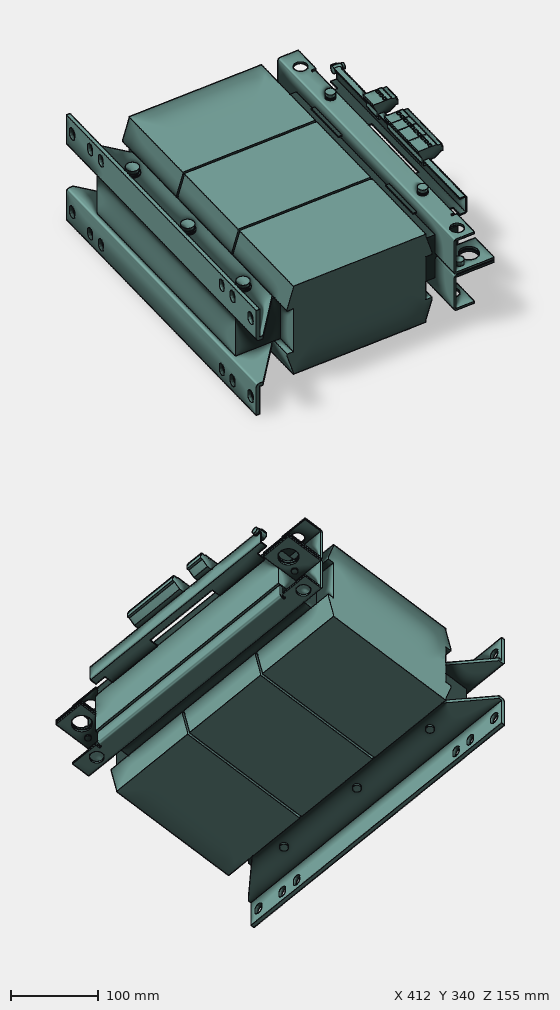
import cadquery as cq


CORE_WIDTH = 300.8
CORE_HALF_HEIGHT = 31.7
CORE_FRONT = 6.5
CORE_LENGTH = 298.0
YOKE_WIDTH = 60.0
CORE_BACK = CORE_FRONT + CORE_LENGTH
WINDOW_FRONT = CORE_FRONT + YOKE_WIDTH
WINDOW_BACK = CORE_BACK - YOKE_WIDTH

COIL_COUNT = 3
COIL_WIDTH = 117.0
COIL_GAP = 3.0
COIL_HALF_HEIGHT = 65.0
COIL_OVERHANG = 8.2
COIL_LIP = 3.5
COIL_EDGE_HEIGHT = 3.0
COIL_PITCH = COIL_WIDTH + COIL_GAP

FOOT_WIDTH = 412.0
FOOT_HALF_HEIGHT = 77.5
FOOT_THICKNESS = 5.0
FOOT_DEPTH = 55.5
FOOT_STRAIGHT_END = 9.0
FOOT_BEND_RADIUS = 4.5
SLOT_LENGTH = 16.0
END_SLOT_WIDTH = 11.5
END_SLOT_X = 193.5
END_SLOT_Z = 57.5
INNER_SLOT_WIDTH = 10.5
INNER_SLOT_XS = (131.0, 154.5)
INNER_SLOT_Z = 62.2

FOOT_BOLT_PITCH = 120.0
FOOT_BOLT_Y = 35.5
FOOT_BOLT_LAYERS = [(19.0, 1.5), (15.2, 2.5), (16.5, 5.0)]
FOOT_BOLT_DIAMETER = 10.5
FOOT_BOLT_END = 39.5

BRACKET_WIDTH = 382.5
BRACKET_FRONT = 274.0
BRACKET_BACK = 301.5
BRACKET_TOP = 52.7
BRACKET_THICKNESS = 3.0
BRACKET_GAP = 1.5
BRACKET_BEND_RADIUS = 4.0
FLANGE_BEND_RADIUS = 5.0
RELIEF_WIDTH = 3.0
RELIEF_LENGTH = 6.0

EAR_WIDTH = 41.0
EAR_BACK = 328.0
EAR_HOLE_DIAMETER = 24.0
EAR_HOLE_Y = 307.5
EAR_HOLE_X = 169.7
EAR_TOP = BRACKET_GAP / 2 + BRACKET_THICKNESS

BRACKET_BOLT_Y = 288.5
ACCESS_HOLE_DIAMETER = 17.0
ACCESS_HOLE_SHIFT = 5.0
EAR_BOLT_SHIFT = 9.5
EAR_BOLT_HEAD_DIAMETER = 11.5
EAR_BOLT_HEAD_HEIGHT = 6.0
EAR_BOLT_DIAMETER = 8.0
EAR_BOLT_END = 5.8

RAIL_WIDTH = 280.0
RAIL_FRONT = 313.5
RAIL_BACK = 323.0
RAIL_BOTTOM = 36.0
RAIL_TOP = 61.5
RAIL_THICKNESS = 1.5
RAIL_BEND_RADIUS = 3.5
TAB_FRONT = 269.0
TAB_INNER_X = 51.0
TAB_NARROW_OUTER_X = 110.5
TAB_WIDE_OUTER_X = 125.2

TAB_BOLT_X = 100.0
TAB_BOLT_LAYERS = [(12.8, 1.2), (11.0, 1.5), (12.5, 5.5)]
TAB_BOLT_DIAMETER = 6.0
TAB_NUT_DIAMETER = 9.5
TAB_NUT_THICKNESS = 1.5

EARTH_SCREW_X = -135.5
EARTH_SCREW_Z = 57.3
EARTH_SCREW_DIAMETER = 8.2
EARTH_SCREW_BACK = 328.0
EARTH_NUT_DIAMETER = 9.5
EARTH_NUT_BACK = 324.5

TERMINAL_TOP = 77.5
TERMINAL_FRONT = 307.0
TERMINAL_BACK = 340.0
TERMINAL_OUTLINE = [
    (TERMINAL_BACK, 71.5), (338.3, 71.5), (338.3, 76.0), (333.0, 76.0), (331.2, TERMINAL_TOP),
    (TERMINAL_FRONT, TERMINAL_TOP), (TERMINAL_FRONT, 74.5), (311.5, 65.5), (311.5, 58.0), (314.0, 58.0),
    (314.0, 53.0), (318.5, 53.0), (318.5, 59.0), (328.8, 59.0), (337.0, 65.0), (TERMINAL_BACK, 65.0),
]
POLE_PITCH = 7.5
SINGLE_BLOCK_START = -59.0
BLOCK_ROW_START = -13.0
POLE_POCKET_WIDTH = 4.5
POLE_POCKET_LENGTH = 3.7
POLE_POCKET_Y = 324.2
POLE_POCKET_DEPTH = 1.2
BLOCK_SEAM_WIDTH = 0.5
BLOCK_SEAM_DEPTH = 1.5


def box(x_range, y_range, z_range):
    """Box spanning the given (low, high) ranges."""
    low, high = zip(x_range, y_range, z_range)
    size = [end - start for start, end in zip(low, high)]
    return cq.Workplane("XY").box(*size, centered=False).translate(low)


def rod(x, y, diameter, bottom, top):
    """Upright cylinder."""
    return cq.Workplane("XY", origin=(x, y, bottom)).circle(diameter / 2).extrude(top - bottom)


def stack(x, y, bottom, layers):
    """Upright cylinders piled on each other, each layer given as (diameter, height)."""
    pile = cq.Workplane("XY")
    for diameter, height in layers:
        pile = pile.union(rod(x, y, diameter, bottom, bottom + height))
        bottom += height
    return pile


def rod_along_y(x, z, diameter, front, back):
    """Cylinder lying along Y."""
    return cq.Workplane("XZ", origin=(x, front, z)).circle(diameter / 2).extrude(front - back)


def prism(outline, x_start, x_end):
    """Outline in Y and Z, extruded along X."""
    return cq.Workplane("YZ", origin=(x_start, 0, 0)).polyline(outline).close().extrude(x_end - x_start)


def make_core():
    """Front and back yokes; the legs between them lie inside the coils."""
    half = CORE_WIDTH / 2
    heights = (-CORE_HALF_HEIGHT, CORE_HALF_HEIGHT)
    front_yoke = box((-half, half), (CORE_FRONT, WINDOW_FRONT), heights)
    back_yoke = box((-half, half), (WINDOW_BACK, CORE_BACK), heights)
    return front_yoke.union(back_yoke)


def make_coil(x):
    """Coil around one leg, with flared ends above and below the yokes."""
    start = x - COIL_WIDTH / 2
    end = x + COIL_WIDTH / 2
    lip_front = WINDOW_FRONT - COIL_OVERHANG
    lip_back = WINDOW_BACK + COIL_OVERHANG
    lip_height = CORE_HALF_HEIGHT + COIL_LIP
    edge_height = COIL_HALF_HEIGHT - COIL_EDGE_HEIGHT
    upper_outline = [
        (WINDOW_FRONT, 0), (WINDOW_FRONT, CORE_HALF_HEIGHT), (lip_front, CORE_HALF_HEIGHT),
        (lip_front, lip_height), (WINDOW_FRONT, edge_height), (WINDOW_FRONT, COIL_HALF_HEIGHT),
        (WINDOW_BACK, COIL_HALF_HEIGHT), (WINDOW_BACK, edge_height), (lip_back, lip_height),
        (lip_back, CORE_HALF_HEIGHT), (WINDOW_BACK, CORE_HALF_HEIGHT), (WINDOW_BACK, 0),
    ]
    upper = prism(upper_outline, start, end)
    return upper.union(upper.mirror("XY"))


def make_foot():
    """Upper foot: tapered plate on the core, bent up into a slotted flange."""
    half = FOOT_WIDTH / 2
    plate_outline = [
        (-half, 0), (half, 0), (half, FOOT_STRAIGHT_END), (CORE_WIDTH / 2, FOOT_DEPTH),
        (-CORE_WIDTH / 2, FOOT_DEPTH), (-half, FOOT_STRAIGHT_END),
    ]
    plate = cq.Workplane("XY", origin=(0, 0, CORE_HALF_HEIGHT)).polyline(plate_outline).close()
    plate = plate.extrude(FOOT_THICKNESS)
    flange = box((-half, half), (0, FOOT_THICKNESS), (CORE_HALF_HEIGHT, FOOT_HALF_HEIGHT))
    foot = plate.union(flange).edges("|X and <Y and <Z").fillet(FOOT_BEND_RADIUS)

    end_points = [(side * END_SLOT_X, END_SLOT_Z) for side in (-1, 1)]
    inner_points = [(side * x, INNER_SLOT_Z) for side in (-1, 1) for x in INNER_SLOT_XS]
    for points, width in ((end_points, END_SLOT_WIDTH), (inner_points, INNER_SLOT_WIDTH)):
        slots = cq.Workplane("XZ").pushPoints(points).slot2D(SLOT_LENGTH, width, 90)
        foot = foot.cut(slots.extrude(-FOOT_THICKNESS))
    return foot


def make_foot_bolt(x):
    plate_top = CORE_HALF_HEIGHT + FOOT_THICKNESS
    shank = rod(x, FOOT_BOLT_Y, FOOT_BOLT_DIAMETER, -FOOT_BOLT_END, plate_top)
    return shank.union(stack(x, FOOT_BOLT_Y, plate_top, FOOT_BOLT_LAYERS))


def make_bracket():
    """Upper bracket: bent channel with a lifting ear at each end."""
    half = BRACKET_WIDTH / 2
    ear_start = half - EAR_WIDTH
    bottom = BRACKET_GAP / 2
    wall_depths = (BRACKET_FRONT, BRACKET_FRONT + BRACKET_THICKNESS)
    plate_heights = (BRACKET_TOP - BRACKET_THICKNESS, BRACKET_TOP)

    plate = box((-half, half), (BRACKET_FRONT, BRACKET_BACK), plate_heights)
    wall = box((-ear_start, ear_start), wall_depths, (CORE_HALF_HEIGHT, BRACKET_TOP))
    bracket = plate.union(wall)
    for side in (-1, 1):
        ear_range = sorted((side * ear_start, side * half))
        end_wall = box(ear_range, wall_depths, (bottom, BRACKET_TOP))
        ear = box(ear_range, (BRACKET_FRONT, EAR_BACK), (bottom, EAR_TOP)).union(end_wall)
        bracket = bracket.union(ear.edges("|X and <Y and <Z").fillet(BRACKET_BEND_RADIUS))
    bracket = bracket.edges("|X and <Y and >Z").fillet(BRACKET_BEND_RADIUS)

    flange = box(
        (-ear_start, ear_start),
        (BRACKET_BACK - BRACKET_THICKNESS, BRACKET_BACK),
        (CORE_HALF_HEIGHT, BRACKET_TOP),
    )
    plate_edge = box((-ear_start, ear_start), (BRACKET_BOLT_Y, BRACKET_BACK), plate_heights)
    bent_edge = plate_edge.union(flange).edges("|X and >Y and >Z").fillet(FLANGE_BEND_RADIUS)
    bracket = bracket.cut(plate_edge).union(bent_edge)

    for side in (-1, 1):
        relief_range = sorted((side * ear_start, side * (ear_start + RELIEF_WIDTH)))
        relief = box(relief_range, (BRACKET_BACK - RELIEF_LENGTH, BRACKET_BACK), plate_heights)
        ear_hole = rod(side * EAR_HOLE_X, EAR_HOLE_Y, EAR_HOLE_DIAMETER, bottom, EAR_TOP)
        access_x = side * EAR_HOLE_X + ACCESS_HOLE_SHIFT
        access_hole = rod(access_x, BRACKET_BOLT_Y, ACCESS_HOLE_DIAMETER, *plate_heights)
        bracket = bracket.cut(relief).cut(ear_hole).cut(access_hole)
    return bracket


def make_ear_bolt(side):
    x = side * EAR_HOLE_X + EAR_BOLT_SHIFT
    shank = rod(x, BRACKET_BOLT_Y, EAR_BOLT_DIAMETER, -EAR_BOLT_END, EAR_TOP)
    head = rod(x, BRACKET_BOLT_Y, EAR_BOLT_HEAD_DIAMETER, EAR_TOP, EAR_TOP + EAR_BOLT_HEAD_HEIGHT)
    return shank.union(head)


def make_rail():
    """C-section rail opening towards the coils, on two stepped tabs."""
    half = RAIL_WIDTH / 2
    tab_heights = (RAIL_BOTTOM, RAIL_BOTTOM + RAIL_THICKNESS)
    rail = box((-half, half), (RAIL_FRONT, RAIL_BACK), (RAIL_BOTTOM, RAIL_TOP))
    rail = rail.edges("|X and >Y").fillet(RAIL_BEND_RADIUS)
    channel = box(
        (-half, half),
        (RAIL_FRONT, RAIL_BACK - RAIL_THICKNESS),
        (RAIL_BOTTOM + RAIL_THICKNESS, RAIL_TOP - RAIL_THICKNESS),
    )
    rail = rail.cut(channel)
    for side in (-1, 1):
        narrow_range = sorted((side * TAB_INNER_X, side * TAB_NARROW_OUTER_X))
        wide_range = sorted((side * TAB_INNER_X, side * TAB_WIDE_OUTER_X))
        rail = rail.union(box(narrow_range, (TAB_FRONT, BRACKET_BACK), tab_heights))
        rail = rail.union(box(wide_range, (BRACKET_BACK, RAIL_FRONT + RAIL_THICKNESS), tab_heights))
    return rail


def make_tab_bolt(x):
    shank = rod(x, BRACKET_BOLT_Y, TAB_BOLT_DIAMETER, CORE_HALF_HEIGHT, BRACKET_TOP)
    head = stack(x, BRACKET_BOLT_Y, BRACKET_TOP, TAB_BOLT_LAYERS)
    nut = rod(x, BRACKET_BOLT_Y, TAB_NUT_DIAMETER, RAIL_BOTTOM - TAB_NUT_THICKNESS, RAIL_BOTTOM)
    return shank.union(head).union(nut)


def make_earth_screw():
    screw = rod_along_y(EARTH_SCREW_X, EARTH_SCREW_Z, EARTH_SCREW_DIAMETER, RAIL_FRONT, EARTH_SCREW_BACK)
    nut = rod_along_y(EARTH_SCREW_X, EARTH_SCREW_Z, EARTH_NUT_DIAMETER, RAIL_FRONT, EARTH_NUT_BACK)
    return screw.union(nut)


def make_terminals(start, poles_per_block):
    """Row of joined terminal blocks, with a wire pocket on every pole."""
    pole_count = sum(poles_per_block)
    row = prism(TERMINAL_OUTLINE, start, start + pole_count * POLE_PITCH)

    pocket_points = [(start + (pole + 0.5) * POLE_PITCH, POLE_POCKET_Y) for pole in range(pole_count)]
    pockets = cq.Workplane("XY", origin=(0, 0, TERMINAL_TOP)).pushPoints(pocket_points)
    row = row.cut(pockets.rect(POLE_POCKET_WIDTH, POLE_POCKET_LENGTH).extrude(-POLE_POCKET_DEPTH))

    seam_x = start
    for poles in poles_per_block[:-1]:
        seam_x += poles * POLE_PITCH
        seam = box(
            (seam_x - BLOCK_SEAM_WIDTH / 2, seam_x + BLOCK_SEAM_WIDTH / 2),
            (TERMINAL_FRONT, TERMINAL_BACK),
            (TERMINAL_TOP - BLOCK_SEAM_DEPTH, TERMINAL_TOP),
        )
        row = row.cut(seam)
    return row


foot = make_foot()
bracket = make_bracket()

result = make_core()
for index in range(COIL_COUNT):
    offset = index - (COIL_COUNT - 1) / 2
    result = result.union(make_coil(offset * COIL_PITCH))
    result = result.union(make_foot_bolt(offset * FOOT_BOLT_PITCH))
result = result.union(foot).union(foot.mirror("XY"))
result = result.union(bracket).union(bracket.rotate((0, 0, 0), (0, 1, 0), 180))
result = result.union(make_rail())
for side in (-1, 1):
    result = result.union(make_ear_bolt(side)).union(make_tab_bolt(side * TAB_BOLT_X))
result = result.union(make_earth_screw())
result = result.union(make_terminals(SINGLE_BLOCK_START, [3]))
result = result.union(make_terminals(BLOCK_ROW_START, [2, 2, 3, 3]))